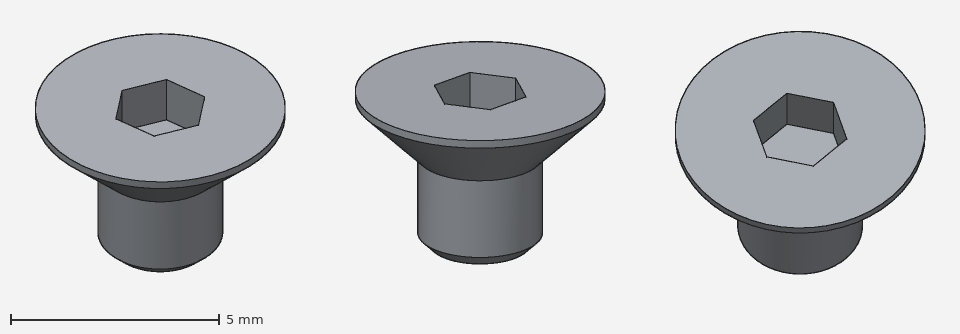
import cadquery as cq
import math

total_height = 4.0
head_diameter = 6.0
shank_diameter = 3.0
rim_height = 0.2
tip_chamfer = 0.3
socket_across_flats = 2.0
socket_depth = 1.2

head_radius = head_diameter / 2
shank_radius = shank_diameter / 2
rim_bottom = total_height - rim_height
cone_height = head_radius - shank_radius
cone_bottom = rim_bottom - cone_height


def screw_body():
    """Half profile in the XZ plane, revolved about Z."""
    return (
        cq.Workplane("XZ")
        .moveTo(0, 0)
        .lineTo(shank_radius - tip_chamfer, 0)
        .lineTo(shank_radius, tip_chamfer)
        .lineTo(shank_radius, cone_bottom)
        .lineTo(head_radius, rim_bottom)
        .lineTo(head_radius, total_height)
        .lineTo(0, total_height)
        .close()
        .revolve(360, (0, 0, 0), (0, 1, 0))
    )


def hexagon_socket():
    """Hexagonal prism with two corners on the X axis."""
    across_corners = socket_across_flats / math.cos(math.radians(30))
    return (
        cq.Workplane("XY", origin=(0, 0, total_height))
        .polygon(6, across_corners)
        .extrude(-socket_depth)
    )


result = screw_body().cut(hexagon_socket())